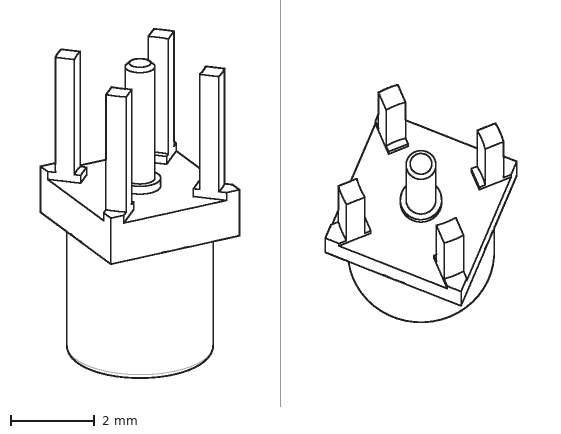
import cadquery as cq

total_height = 7.5
body_width = 3.5
barrel_height = 3.3
barrel_edge_radius = 0.15
post_length = 3.0
pad_height = 0.2
post_width = 0.5
pad_inner_distance = 1.4
post_inner_radius = 1.575
post_outer_radius = 2.05
pin_diameter = 0.71
pin_chamfer = 0.1
collar_diameter = 0.99

pad_top = total_height - post_length
block_top = pad_top - pad_height


def make_barrel():
    """Round barrel with a rounded lower rim."""
    barrel = cq.Workplane("XY").circle(body_width / 2).extrude(barrel_height)
    return barrel.faces("<Z").edges().fillet(barrel_edge_radius)


def make_block():
    """Square block on top of the barrel."""
    block = cq.Workplane("XY").workplane(offset=barrel_height)
    return block.rect(body_width, body_width).extrude(block_top - barrel_height)


def make_pin():
    """Center pin with a chamfered tip, standing on a low collar."""
    base = cq.Workplane("XY").workplane(offset=block_top)
    collar = base.circle(collar_diameter / 2).extrude(pad_height)
    pin = base.circle(pin_diameter / 2).extrude(total_height - block_top)
    pin = pin.faces(">Z").edges().chamfer(pin_chamfer)
    return collar.union(pin)


def make_pad(angle):
    """Low diagonal pad running out to a corner and trimmed by the block sides."""
    pad = (
        cq.Workplane("XY")
        .workplane(offset=block_top)
        .center(pad_inner_distance + body_width / 2, 0)
        .rect(body_width, post_width)
        .extrude(pad_height)
        .rotate((0, 0, 0), (0, 0, 1), angle)
    )
    block_outline = (
        cq.Workplane("XY")
        .workplane(offset=block_top)
        .rect(body_width, body_width)
        .extrude(pad_height)
    )
    return pad.intersect(block_outline)


def make_post(angle):
    """Slender post cut from a ring, with flat sides and curved inner and outer faces."""
    base = cq.Workplane("XY").workplane(offset=block_top)
    height = total_height - block_top
    ring = base.circle(post_outer_radius).circle(post_inner_radius).extrude(height)
    strip = base.center(post_outer_radius, 0).rect(2 * post_outer_radius, post_width).extrude(height)
    return ring.intersect(strip).rotate((0, 0, 0), (0, 0, 1), angle)


result = make_barrel().union(make_block()).union(make_pin())
for corner_angle in (45, 135, 225, 315):
    result = result.union(make_pad(corner_angle)).union(make_post(corner_angle))